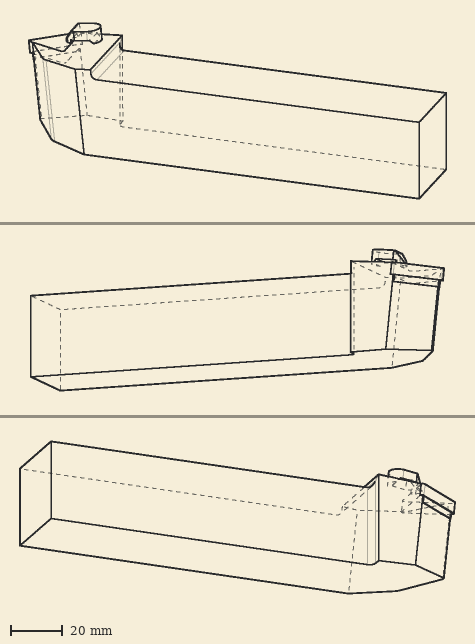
import cadquery as cq
import math

LENGTH = 170.0
SHANK_WIDTH = 32.0
SHANK_HEIGHT = 32.0

RAKE = 6.0
TIP_HEIGHT = 32.1
TILT_REACH = 51.0

HEAD_WIDTH = 38.6
HEAD_REAR_WIDTH = 37.4
HEAD_REAR = 35.4
COVE_RADIUS = 2.4
COVE_END = 37.9
HEAD_TIP = 1.5
HEAD_TIP_WIDTH = 1.5
FRONT_CORNER = (12.8, 9.7)
FRONT_CORNER_RADIUS = 6.0
FRONT_BEVEL_END = 29.2

INSERT_SIDE = 22.0
INSERT_NOSE_RADIUS = 0.8
INSERT_THICKNESS = 4.8
INSERT_CENTRE_Y = 28.9

SHIM_THICKNESS = 2.7
SHIM_STEP = 0.2

CLAMP_HEIGHT = 5.3
BEAK_OUTLINE = [(19.0, 35.4), (15.1, 31.8), (15.1, 30.0), (16.3, 28.0), (19.9, 26.2)]
CLAMP_ARC_START = (25.0, 26.7)
CLAMP_ARC_MIDDLE = (29.0, 31.1)
CLAMP_ARC_END = (25.0, 35.9)
BEAK_FRONT = 14.8
BEAK_TOP = 18.7
BEAK_EDGE = 0.3
GAP_START = 18.0
GAP_END = 27.2
GAP_HEIGHT = 1.5
GAP_SLOPE = 1.4

TAN_30 = math.tan(math.radians(30))
COS_RAKE = math.cos(math.radians(RAKE))
SIN_RAKE = math.sin(math.radians(RAKE))

TOP_PLANE = cq.Plane((0, 0, TIP_HEIGHT), (COS_RAKE, 0, SIN_RAKE), (-SIN_RAKE, 0, COS_RAKE))
CLAMP_SIDE_PLANE = cq.Plane((0, 0, TIP_HEIGHT), (COS_RAKE, 0, SIN_RAKE), (0, -1, 0))


def make_insert():
    """Equilateral triangle with rounded noses, its top flush with the head."""
    apex = -INSERT_NOSE_RADIUS
    base = apex + INSERT_SIDE * math.cos(math.radians(30))
    half_side = INSERT_SIDE / 2
    return (
        cq.Workplane(TOP_PLANE)
        .polyline([
            (apex, INSERT_CENTRE_Y),
            (base, INSERT_CENTRE_Y - half_side),
            (base, INSERT_CENTRE_Y + half_side),
        ])
        .close()
        .extrude(-INSERT_THICKNESS)
        .edges(cq.selectors.ParallelDirSelector(TOP_PLANE.zDir))
        .fillet(INSERT_NOSE_RADIUS)
    )


def make_side_profile():
    """Side outline of the holder: sloping head top, vertical step and cove down to the shank."""
    head_rear_height = TIP_HEIGHT + HEAD_REAR * math.tan(math.radians(RAKE))
    return (
        cq.Workplane("XZ")
        .moveTo(0, 0)
        .lineTo(0, TIP_HEIGHT)
        .lineTo(HEAD_REAR, head_rear_height)
        .lineTo(COVE_END - COVE_RADIUS, SHANK_HEIGHT + COVE_RADIUS)
        .radiusArc((COVE_END, SHANK_HEIGHT), -COVE_RADIUS)
        .lineTo(LENGTH, SHANK_HEIGHT)
        .lineTo(LENGTH, 0)
        .close()
        .extrude(-HEAD_WIDTH)
    )


def make_head_prism():
    """Plan outline of the head, extruded square to its sloping top so the walls lean back."""
    tip_high = INSERT_CENTRE_Y + HEAD_TIP_WIDTH / 2
    tip_low = INSERT_CENTRE_Y - HEAD_TIP_WIDTH / 2
    back_corner = HEAD_TIP + (HEAD_WIDTH - tip_high) / TAN_30
    inside_shank = COVE_END + TILT_REACH
    prism = (
        cq.Workplane(TOP_PLANE)
        .moveTo(HEAD_TIP, tip_low)
        .lineTo(HEAD_TIP, tip_high)
        .lineTo(back_corner, HEAD_WIDTH)
        .lineTo(HEAD_REAR, HEAD_REAR_WIDTH)
        .lineTo(inside_shank, HEAD_REAR_WIDTH)
        .lineTo(inside_shank, 0)
        .lineTo(FRONT_BEVEL_END, 0)
        .lineTo(*FRONT_CORNER)
        .close()
        .extrude(-TILT_REACH)
    )
    corner_point = TOP_PLANE.toWorldCoords((*FRONT_CORNER, -TILT_REACH / 2))
    corner_edge = cq.selectors.NearestToPointSelector(corner_point.toTuple())
    return prism.edges(corner_edge).fillet(FRONT_CORNER_RADIUS)


def make_rear_trim():
    """Material removed behind the head: upright rear face and cove running into the shank."""
    return (
        cq.Workplane("XY")
        .moveTo(HEAD_REAR, HEAD_WIDTH)
        .lineTo(HEAD_REAR, HEAD_REAR_WIDTH)
        .lineTo(COVE_END - COVE_RADIUS, SHANK_WIDTH + COVE_RADIUS)
        .radiusArc((COVE_END, SHANK_WIDTH), -COVE_RADIUS)
        .lineTo(LENGTH, SHANK_WIDTH)
        .lineTo(LENGTH, HEAD_WIDTH)
        .close()
        .extrude(TILT_REACH)
    )


def make_shim():
    """Thin seat directly below the insert, following the tip and the back wall of the head."""
    tip = HEAD_TIP - SHIM_STEP
    tip_low = INSERT_CENTRE_Y - HEAD_TIP_WIDTH / 2
    tip_high = INSERT_CENTRE_Y + HEAD_TIP_WIDTH / 2 + SHIM_STEP
    back_corner = tip + (HEAD_WIDTH - tip_high) / TAN_30
    return (
        cq.Workplane(TOP_PLANE)
        .workplane(offset=-INSERT_THICKNESS)
        .polyline([
            (tip, tip_low),
            (tip, tip_high),
            (back_corner, HEAD_WIDTH),
            (back_corner, tip_low),
        ])
        .close()
        .extrude(-SHIM_THICKNESS)
    )


def make_clamp():
    """Rounded clamp with a sloping beak, bridging a gap between the insert and its rear foot."""
    block = (
        cq.Workplane(TOP_PLANE)
        .polyline(BEAK_OUTLINE)
        .lineTo(*CLAMP_ARC_START)
        .threePointArc(CLAMP_ARC_MIDDLE, CLAMP_ARC_END)
        .close()
        .extrude(CLAMP_HEIGHT)
    )
    side_profile = (
        cq.Workplane(CLAMP_SIDE_PLANE)
        .polyline([
            (BEAK_FRONT, 0),
            (BEAK_FRONT, BEAK_EDGE),
            (BEAK_TOP, CLAMP_HEIGHT),
            (TILT_REACH, CLAMP_HEIGHT),
            (TILT_REACH, 0),
            (GAP_END, 0),
            (GAP_END - GAP_SLOPE, GAP_HEIGHT),
            (GAP_START, GAP_HEIGHT),
            (GAP_START, 0),
        ])
        .close()
        .extrude(-TILT_REACH)
    )
    return block.intersect(side_profile)


def make_holder(insert):
    """Shank, head and clamp in one piece, with a pocket that matches the insert."""
    shank = (
        cq.Workplane("XY")
        .box(LENGTH - COVE_END, SHANK_WIDTH, SHANK_HEIGHT, centered=False)
        .translate((COVE_END, 0, 0))
    )
    head = make_head_prism().intersect(make_side_profile()).cut(make_rear_trim())
    return head.union(shank).union(make_shim()).cut(insert).union(make_clamp())


insert = make_insert()
holder = make_holder(insert)

result = cq.Compound.makeCompound([holder.solids().val(), insert.val()])